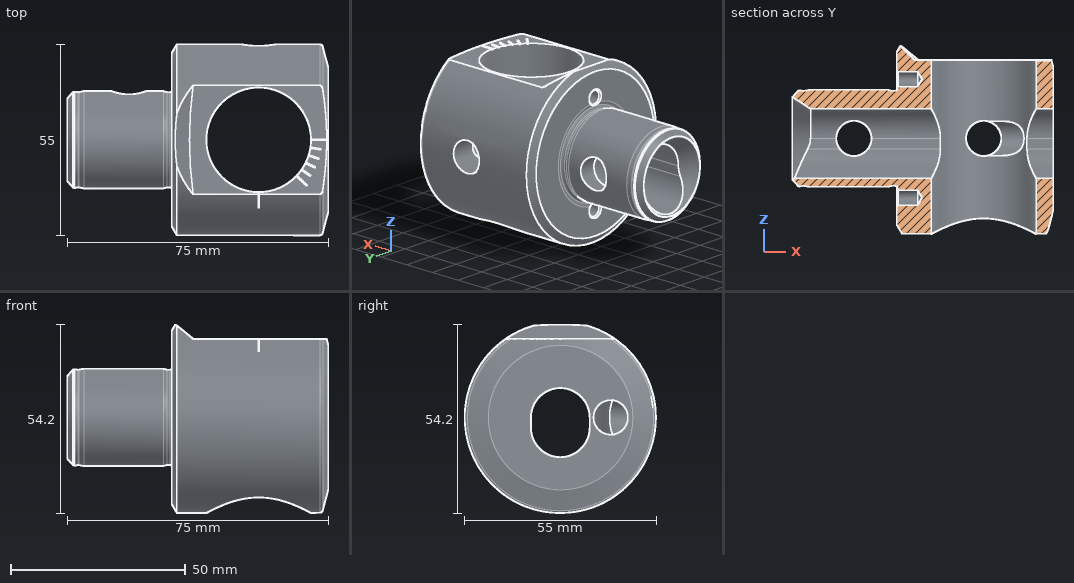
import cadquery as cq
import math

LENGTH = 75.0
BODY_START = 30.0
BODY_RADIUS = 55.0 / 2
SHANK_RADIUS = 14.0

TIP_RADIUS = 11.9
TIP_CHAMFER_END = 1.65
TIP_CHAMFER_RADIUS = 13.7
CREST_RADIUS = 13.9
CREST_START = 2.0
CREST_END = 2.3
VALLEY_RADIUS = 13.7
VALLEY_START = 3.0
VALLEY_END = 3.3
SHANK_START = 4.8

RELIEF_START = 27.5
RELIEF_RADIUS = 13.7
RELIEF_SLOPE = math.radians(15)
RELIEF_FILLET = 0.8
RELIEF_DEPTH = 0.2
RELIEF_RIM_RADIUS = 15.7

FRONT_CHAMFER_RADIUS = 25.0
FRONT_CHAMFER_LENGTH = 1.5
REAR_FILLET = 1.0
REAR_FILLET_START = 72.45
REAR_TAPER = math.radians(15)

FLAT_HEIGHT = 22.6
FLAT_START = 35.1
FLANK_RADIUS = 116.25

CROSS_HOLE_RADIUS = 15.0
CROSS_HOLE_X = 55.0
SLOT_RADIUS = 8.4
SLOT_DROP = 3.0
MOUTH_RADIUS = 11.85
MOUTH_DEPTH = 5.25
SIDE_HOLE_RADIUS = 5.0
SHANK_SIDE_HOLE_X = 17.7
REAR_HOLE_RADIUS = 4.95
REAR_HOLE_Y = 14.5

PIN_OFFSET = 17.0
PIN_RADIUS = 2.1
PIN_DEPTH = 6.0
PIN_CHAMFER = 0.45
PIN_TIP_ANGLE = math.radians(59)

MARK_WIDTH = 0.3
MARK_DEPTH = 0.2
LONG_MARK = 4.05
SHORT_MARK = 3.1
MARK_COUNT = 6
MARK_ANGLE_STEP = 8.7
SIDE_MARK_END = 19.5


def turned_blank():
    """Shank and body as one revolved profile, drawn as (x, radius)."""
    relief_end = RELIEF_START + (SHANK_RADIUS - RELIEF_RADIUS) / math.tan(RELIEF_SLOPE)
    face_x = BODY_START + RELIEF_DEPTH
    fillet_center = (face_x - RELIEF_FILLET, RELIEF_RADIUS + RELIEF_FILLET)
    fillet_mid = (
        fillet_center[0] + RELIEF_FILLET * math.sin(math.pi / 4),
        fillet_center[1] - RELIEF_FILLET * math.cos(math.pi / 4),
    )

    rear_center = (REAR_FILLET_START, BODY_RADIUS - REAR_FILLET)
    rear_sweep = math.pi / 2 - REAR_TAPER

    def rear_fillet_point(angle):
        return (
            rear_center[0] + REAR_FILLET * math.sin(angle),
            rear_center[1] + REAR_FILLET * math.cos(angle),
        )

    rear_fillet_end = rear_fillet_point(rear_sweep)
    rear_face_radius = rear_fillet_end[1] - (LENGTH - rear_fillet_end[0]) / math.tan(REAR_TAPER)

    profile = (
        cq.Workplane("XY")
        .moveTo(0, 0)
        .lineTo(0, TIP_RADIUS)
        .lineTo(TIP_CHAMFER_END, TIP_CHAMFER_RADIUS)
        .lineTo(CREST_START, CREST_RADIUS)
        .lineTo(CREST_END, CREST_RADIUS)
        .lineTo(VALLEY_START, VALLEY_RADIUS)
        .lineTo(VALLEY_END, VALLEY_RADIUS)
        .lineTo(SHANK_START, SHANK_RADIUS)
        .lineTo(RELIEF_START, SHANK_RADIUS)
        .lineTo(relief_end, RELIEF_RADIUS)
        .lineTo(fillet_center[0], RELIEF_RADIUS)
        .threePointArc(fillet_mid, (face_x, fillet_center[1]))
        .lineTo(BODY_START, RELIEF_RIM_RADIUS)
        .lineTo(BODY_START, FRONT_CHAMFER_RADIUS)
        .lineTo(BODY_START + FRONT_CHAMFER_LENGTH, BODY_RADIUS)
        .lineTo(REAR_FILLET_START, BODY_RADIUS)
        .threePointArc(rear_fillet_point(rear_sweep / 2), rear_fillet_end)
        .lineTo(LENGTH, rear_face_radius)
        .lineTo(LENGTH, 0)
        .close()
    )
    return profile.revolve(360, (0, 0, 0), (1, 0, 0))


def flat_cutter():
    """Cone standing on the flat; its flank makes the sloped end of the flat."""
    height = BODY_RADIUS - FLAT_HEIGHT
    return cq.Workplane(
        cq.Solid.makeCone(
            FLANK_RADIUS,
            FLANK_RADIUS + height,
            height,
            pnt=cq.Vector(FLAT_START + FLANK_RADIUS, 0, FLAT_HEIGHT),
        )
    )


def cross_hole():
    """Vertical hole through the flat and the body."""
    return (
        cq.Workplane("XY", origin=(CROSS_HOLE_X, 0, 0))
        .circle(CROSS_HOLE_RADIUS)
        .extrude(BODY_RADIUS, both=True)
    )


def slot_bore():
    """Upright slot through the whole length, opened by a conical mouth at the tip."""
    slot = (
        cq.Workplane("YZ", origin=(0, 0, -SLOT_DROP / 2))
        .slot2D(SLOT_DROP + 2 * SLOT_RADIUS, 2 * SLOT_RADIUS, 90)
        .extrude(LENGTH)
    )
    mouth_length = MOUTH_DEPTH * MOUTH_RADIUS / (MOUTH_RADIUS - SLOT_RADIUS)
    mouth = cq.Solid.makeCone(MOUTH_RADIUS, 0, mouth_length, dir=cq.Vector(1, 0, 0))
    return slot.union(cq.Workplane(mouth))


def side_hole(x):
    """Radial hole from the +Y side to the axis."""
    return cq.Workplane("XZ", origin=(x, 0, 0)).circle(SIDE_HOLE_RADIUS).extrude(-BODY_RADIUS)


def rear_hole():
    """Hole along X from the rear face that breaks into the wall of the cross hole."""
    return (
        cq.Workplane("YZ", origin=(CROSS_HOLE_X, REAR_HOLE_Y, 0))
        .circle(REAR_HOLE_RADIUS)
        .extrude(LENGTH - CROSS_HOLE_X)
    )


def pin_hole(z):
    """Drilled hole in the body face with a chamfered rim and a conical bottom."""
    rim = PIN_RADIUS + PIN_CHAMFER
    tip = PIN_DEPTH + PIN_RADIUS / math.tan(PIN_TIP_ANGLE)
    return (
        cq.Workplane("XY", origin=(BODY_START, 0, z))
        .polyline([(0, 0), (0, rim), (PIN_CHAMFER, PIN_RADIUS), (PIN_DEPTH, PIN_RADIUS), (tip, 0)])
        .close()
        .revolve(360, (0, 0, 0), (1, 0, 0))
    )


def scale_mark(angle, length):
    """Engraved line on the flat, radial to the cross hole."""
    mark = (
        cq.Workplane("XY")
        .box(CROSS_HOLE_RADIUS + length, MARK_WIDTH, 2 * MARK_DEPTH, centered=(False, True, True))
        .rotate((0, 0, 0), (0, 0, 1), -angle)
    )
    return mark.translate((CROSS_HOLE_X, 0, FLAT_HEIGHT))


def side_mark():
    """Engraved line around the -Y side of the body, level with the cross hole."""
    band = (
        cq.Workplane("YZ", origin=(CROSS_HOLE_X - MARK_WIDTH / 2, 0, 0))
        .circle(BODY_RADIUS)
        .circle(BODY_RADIUS - MARK_DEPTH)
        .extrude(MARK_WIDTH)
    )
    window = (
        cq.Workplane("XY", origin=(CROSS_HOLE_X, 0, 0))
        .box(BODY_RADIUS, SIDE_MARK_END, BODY_RADIUS, centered=(True, False, False))
        .translate((0, -SIDE_MARK_END, 0))
    )
    return band.intersect(window)


result = turned_blank().cut(flat_cutter()).cut(cross_hole()).cut(slot_bore())

for hole_x in (SHANK_SIDE_HOLE_X, CROSS_HOLE_X):
    result = result.cut(side_hole(hole_x))
result = result.cut(rear_hole())

for pin_z in (PIN_OFFSET, -PIN_OFFSET):
    result = result.cut(pin_hole(pin_z))

for index in range(MARK_COUNT):
    is_end_mark = index in (0, MARK_COUNT - 1)
    mark_length = LONG_MARK if is_end_mark else SHORT_MARK
    result = result.cut(scale_mark(index * MARK_ANGLE_STEP, mark_length))
result = result.cut(side_mark())